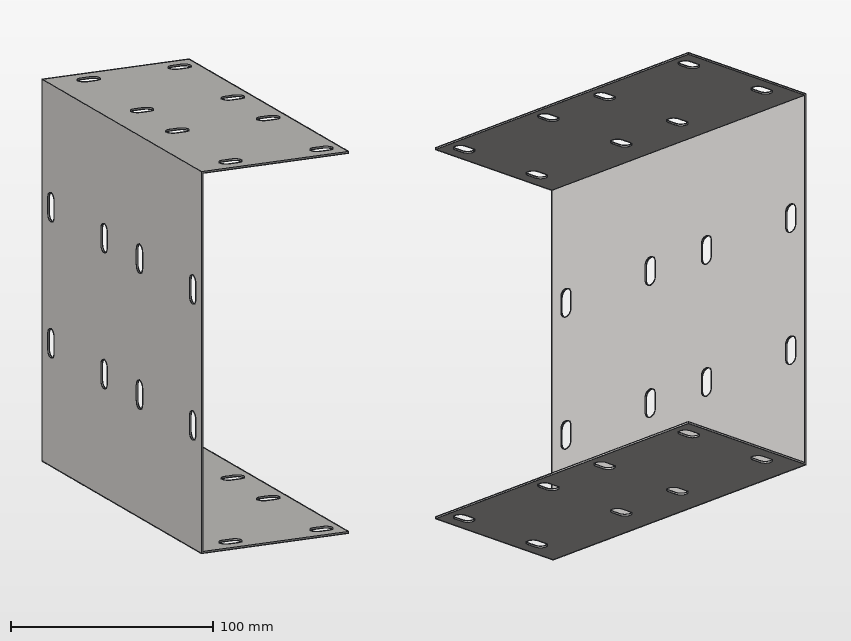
import cadquery as cq

width = 180.0
depth = 80.9
height = 196.7
thickness = 1.0

slot_width = 7.0
outer_column_spacing = 160.0
inner_column_spacing = 40.0
slot_columns = [
    side * spacing / 2
    for spacing in (outer_column_spacing, inner_column_spacing)
    for side in (-1, 1)
]

web_slot_length = 15.0
web_row_spacing = 70.0
flange_slot_length = 12.0
flange_row_spacing = 50.0
rear_row_to_flange_edge = 10.0

front = -depth / 2
rear = depth / 2


def channel():
    """Thin U-section with square corners, open towards +Y."""
    outside = cq.Workplane("XY").box(width, depth, height)
    inside = (
        cq.Workplane("XY")
        .box(width, depth, height - 2 * thickness)
        .translate((0, thickness, 0))
    )
    return outside.cut(inside)


def slot_cutter(plane, centers, length, reach):
    """Slots stretched along the plane's local Y, extruded by reach to both sides."""
    return (
        plane
        .pushPoints(centers)
        .slot2D(length, slot_width, 90)
        .extrude(reach, both=True)
    )


def web_slots():
    """Upright slots through the web, in two rows about mid-height."""
    rows = (-web_row_spacing / 2, web_row_spacing / 2)
    centers = [(x, z) for x in slot_columns for z in rows]
    web_plane = cq.Workplane("XZ", origin=(0, front, 0))
    return slot_cutter(web_plane, centers, web_slot_length, 2 * thickness)


def flange_slots():
    """Slots running through both flanges, in two rows set from the free edges."""
    rear_row = rear - rear_row_to_flange_edge
    front_row = rear_row - flange_row_spacing
    centers = [(x, y) for x in slot_columns for y in (front_row, rear_row)]
    return slot_cutter(cq.Workplane("XY"), centers, flange_slot_length, height)


result = channel().cut(web_slots()).cut(flange_slots())